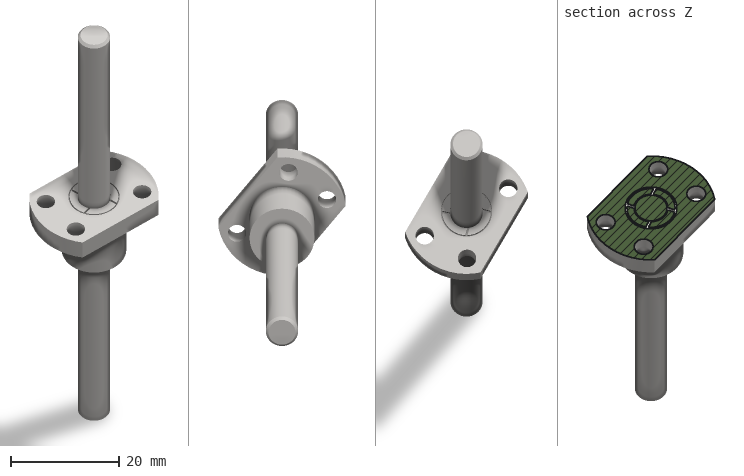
import cadquery as cq

shaft_length = 100
shaft_diameter = 6
shaft_chamfer = 0.5

nut_length = 14
nut_diameter = 12
nut_top = nut_length / 2
flange_diameter = 24
flange_width = 16
flange_thickness = 4

hole_diameter = 3.4
hole_circle_diameter = 18
hole_angles = (60, 120, 240, 300)

wiper_bore_diameter = 6.2
wiper_diameter = 9
wiper_seat_diameter = 9.5
wiper_gap_depth = 0.5
slit_count = 4
slit_width = 0.4
slit_offset = 1.1
slit_first_angle = 15


def disc(diameter, height, bottom):
    """Solid cylinder on the Z axis."""
    return cq.Workplane("XY").workplane(offset=bottom).circle(diameter / 2).extrude(height)


def make_shaft():
    return disc(shaft_diameter, shaft_length, -shaft_length / 2).edges("%CIRCLE").chamfer(shaft_chamfer)


def make_nut():
    """Round body with a two-flat flange at its top end."""
    flange_bottom = nut_top - flange_thickness
    flats = (
        cq.Workplane("XY")
        .workplane(offset=flange_bottom)
        .rect(flange_width, flange_diameter)
        .extrude(flange_thickness)
    )
    flange = disc(flange_diameter, flange_thickness, flange_bottom).intersect(flats)
    body = disc(nut_diameter, nut_length, -nut_length / 2)
    nut = body.union(flange)
    for angle in hole_angles:
        hole = disc(hole_diameter, flange_thickness, flange_bottom)
        hole = hole.translate((hole_circle_diameter / 2, 0, 0)).rotate((0, 0, 0), (0, 0, 1), angle)
        nut = nut.cut(hole)
    return nut


def make_wiper_gaps():
    """Shallow clearances inside and outside the wiper ring, and the off-centre slits that divide it."""
    gap_bottom = nut_top - wiper_gap_depth
    outer_gap = disc(wiper_seat_diameter, wiper_gap_depth, gap_bottom).cut(
        disc(wiper_diameter, wiper_gap_depth, gap_bottom)
    )
    gaps = outer_gap.union(disc(wiper_bore_diameter, wiper_gap_depth, gap_bottom))
    slit_length = wiper_diameter / 2
    for index in range(slit_count):
        angle = slit_first_angle + index * 360 / slit_count
        slit = (
            cq.Workplane("XY")
            .workplane(offset=gap_bottom)
            .center(slit_length / 2, slit_offset)
            .rect(slit_length, slit_width)
            .extrude(wiper_gap_depth)
            .rotate((0, 0, 0), (0, 0, 1), angle)
        )
        gaps = gaps.union(slit)
    return gaps


result = make_nut().cut(make_wiper_gaps()).union(make_shaft())